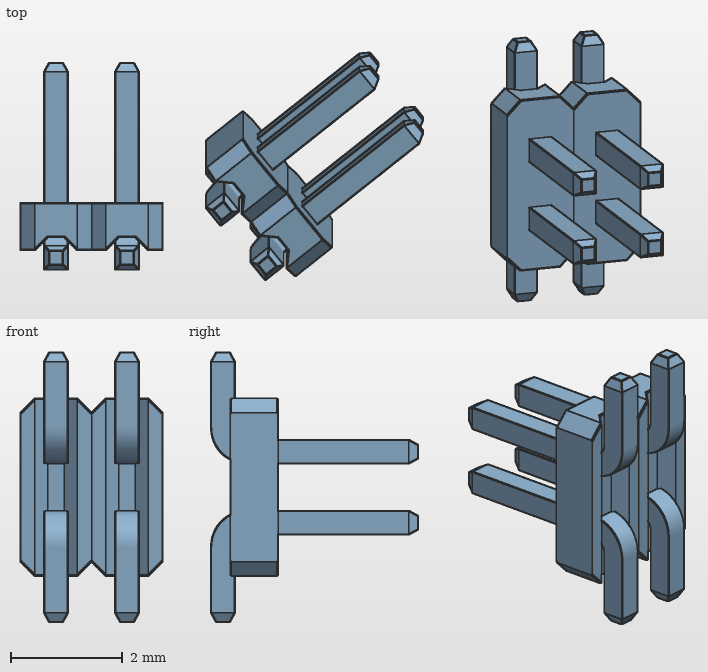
import cadquery as cq


PITCH = 1.27
COLUMNS = 2
HEIGHT = 4.83

HOUSING_HEIGHT = 3.185
HOUSING_DEPTH = 0.855
CORNER_CUT = 0.255
GROOVE_DEPTH = 0.23
HOUSING_BREAK = 0.0215

PIN_SIZE = 0.435
BEND_RADIUS = 0.425
FOOT_PROJECTION = 0.35
CONTACT_LENGTH = 2.505
TIP_LENGTH = 0.17
TIP_SIZE = 0.25
PIN_BREAK = 0.012

FOOT_Y = PIN_SIZE / 2 - FOOT_PROJECTION
FOOT_TIP_Z = HEIGHT / 2
CONTACT_Z = PITCH / 2
CONTACT_TIP_Y = HOUSING_DEPTH + CONTACT_LENGTH


def octagon_points(size):
    """Corner points of a square of the given size with its corners broken."""
    outer = size / 2
    inner = outer - PIN_BREAK
    return [
        (outer, inner), (inner, outer), (-inner, outer), (-outer, inner),
        (-outer, -inner), (-inner, -outer), (inner, -outer), (outer, -inner),
    ]


def make_tip(base_centre, direction):
    """Tapered end of a pin, growing from base_centre along direction."""
    base = cq.Workplane(cq.Plane(origin=base_centre, xDir=(1, 0, 0), normal=direction))
    return (
        base.polyline(octagon_points(PIN_SIZE)).close()
        .workplane(offset=TIP_LENGTH)
        .polyline(octagon_points(TIP_SIZE)).close()
        .loft(ruled=True, combine=True)
        .faces(cq.selectors.DirectionMinMaxSelector(cq.Vector(*direction)))
        .chamfer(PIN_BREAK)
    )


def make_upper_pin():
    """Pin of the upper row at X = 0: contact along +Y, bend, and foot along +Z."""
    contact_end = (0, CONTACT_TIP_Y - TIP_LENGTH, CONTACT_Z)
    foot_end = (0, FOOT_Y, FOOT_TIP_Z - TIP_LENGTH)
    bend_start_y = FOOT_Y + BEND_RADIUS
    bend_end_z = CONTACT_Z + BEND_RADIUS

    centreline = (
        cq.Workplane("YZ")
        .moveTo(contact_end[1], CONTACT_Z)
        .lineTo(bend_start_y, CONTACT_Z)
        .tangentArcPoint((FOOT_Y, bend_end_z), relative=False)
        .lineTo(FOOT_Y, foot_end[2])
    )
    bar = (
        cq.Workplane(cq.Plane(origin=contact_end, xDir=(1, 0, 0), normal=(0, -1, 0)))
        .polyline(octagon_points(PIN_SIZE)).close()
        .sweep(centreline, clean=False)
    )
    contact_tip = make_tip(contact_end, (0, 1, 0))
    foot_tip = make_tip(foot_end, (0, 0, 1))
    return bar.union(contact_tip, clean=False).union(foot_tip, clean=False)


def make_housing_block():
    """Housing segment centred on X = 0, without its pin holes."""
    groove_width = PITCH - 2 * CORNER_CUT
    floor_width = groove_width - 2 * GROOVE_DEPTH
    block = (
        cq.Workplane("XY")
        .box(PITCH, HOUSING_DEPTH, HOUSING_HEIGHT, centered=(True, False, True))
        .edges("|Y").chamfer(CORNER_CUT)
    )
    groove = (
        cq.Workplane("XY")
        .polyline([
            (-groove_width / 2, 0),
            (groove_width / 2, 0),
            (floor_width / 2, GROOVE_DEPTH),
            (-floor_width / 2, GROOVE_DEPTH),
        ])
        .close()
        .extrude(HOUSING_HEIGHT / 2, both=True)
    )
    return block.cut(groove).edges("not (|Y or |Z)").chamfer(HOUSING_BREAK)


upper_pin = make_upper_pin()
lower_pin = upper_pin.mirror("XY")
housing = make_housing_block().cut(upper_pin).cut(lower_pin)

bodies = []
for column in range(COLUMNS):
    column_x = (column - (COLUMNS - 1) / 2) * PITCH
    for body in (housing, upper_pin, lower_pin):
        bodies.append(body.translate((column_x, 0, 0)).val())

result = cq.Compound.makeCompound(bodies)